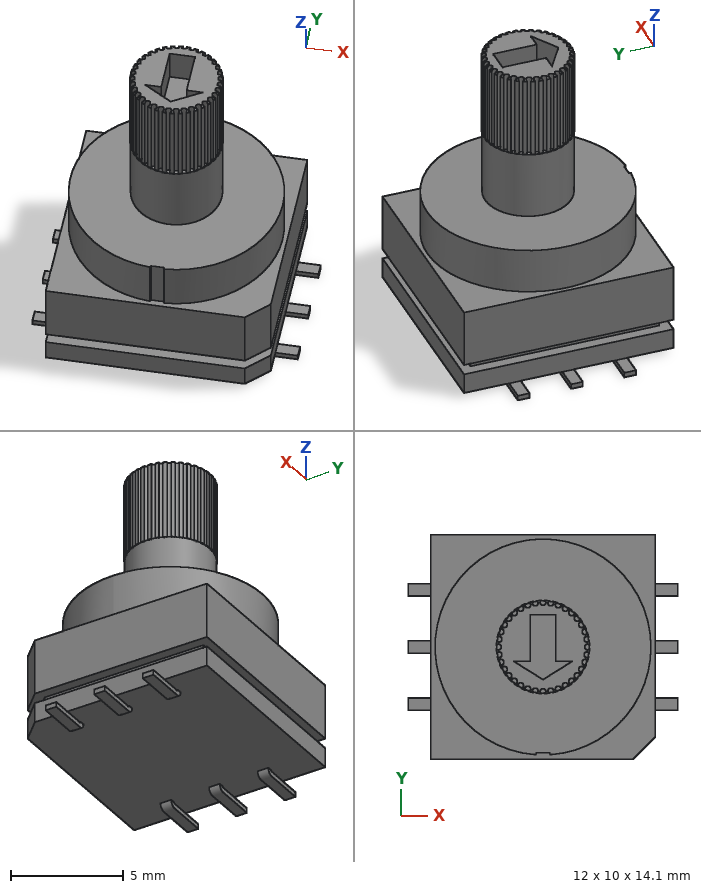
import cadquery as cq
import math

body_width = 10.0
corner_chamfer = 1.0
groove_depth = 0.5
body_bottom = 0.3
groove_bottom = 1.3
groove_top = 1.8
body_top = 4.6

disc_diameter = 9.6
disc_top = 6.8
notch_rim_width = 0.65
notch_floor_width = 0.58
notch_depth = 0.1

shaft_diameter = 4.1
knurl_diameter = 4.15
knurl_bottom = 10.1
knurl_top = 14.1
knurl_chamfer = 0.1
flute_count = 36
flute_diameter = 0.25
flute_circle_diameter = 3.96

arrow_stem_width = 1.15
arrow_head_width = 2.6
arrow_tail_y = 1.44
arrow_shoulder_y = -0.64
arrow_tip_y = -1.45
arrow_depth = 1.5

terminal_span = 12.0
terminal_width = 0.56
terminal_thickness = 0.25
terminal_pitch = 2.54
terminals_per_side = 3
terminal_inner_x = 3.7
bend_inner_radius = 0.05
terminal_embed = 0.2


def housing_layer(bottom, top, inset):
    """Square plate with one chamfered corner, its outline moved inward by inset."""
    half = body_width / 2 - inset
    chamfer = corner_chamfer - inset * (2 - math.sqrt(2))
    return (
        cq.Workplane("XY")
        .workplane(offset=bottom)
        .polyline([
            (-half, -half),
            (half - chamfer, -half),
            (half, -half + chamfer),
            (half, half),
            (-half, half),
        ])
        .close()
        .extrude(top - bottom)
    )


def make_housing():
    lower = housing_layer(body_bottom, groove_bottom, 0)
    neck = housing_layer(groove_bottom, groove_top, groove_depth)
    upper = housing_layer(groove_top, body_top, 0)
    return lower.union(neck).union(upper)


def make_notch():
    """Cutter for a full-height trapezoidal notch in the -Y side of the disc rim."""
    radius = disc_diameter / 2
    rim_y = -math.sqrt(radius ** 2 - (notch_rim_width / 2) ** 2)
    floor_y = notch_depth - radius
    overshoot = notch_depth
    flare = (notch_rim_width - notch_floor_width) / (floor_y - rim_y) * overshoot
    outer_half = (notch_rim_width + flare) / 2
    floor_half = notch_floor_width / 2
    outer_y = rim_y - overshoot
    return (
        cq.Workplane("XY")
        .workplane(offset=body_top)
        .polyline([
            (-outer_half, outer_y),
            (outer_half, outer_y),
            (floor_half, floor_y),
            (-floor_half, floor_y),
        ])
        .close()
        .extrude(disc_top - body_top)
    )


def make_disc():
    disc = cq.Workplane("XY").workplane(offset=body_top).circle(disc_diameter / 2).extrude(disc_top - body_top)
    return disc.cut(make_notch())


def make_knurled_head():
    head = (
        cq.Workplane("XY")
        .workplane(offset=knurl_bottom)
        .circle(knurl_diameter / 2)
        .extrude(knurl_top - knurl_bottom)
        .faces(">Z")
        .chamfer(knurl_chamfer)
    )
    flutes = (
        cq.Workplane("XY")
        .workplane(offset=knurl_bottom)
        .polarArray(flute_circle_diameter / 2, 0, 360, flute_count)
        .circle(flute_diameter / 2)
        .extrude(knurl_top - knurl_bottom)
    )
    return head.cut(flutes)


def make_arrow_pocket():
    stem = arrow_stem_width / 2
    head = arrow_head_width / 2
    return (
        cq.Workplane("XY")
        .workplane(offset=knurl_top - arrow_depth)
        .polyline([
            (-stem, arrow_tail_y),
            (-stem, arrow_shoulder_y),
            (-head, arrow_shoulder_y),
            (0, arrow_tip_y),
            (head, arrow_shoulder_y),
            (stem, arrow_shoulder_y),
            (stem, arrow_tail_y),
        ])
        .close()
        .extrude(arrow_depth)
    )


def make_shaft():
    stem = (
        cq.Workplane("XY").workplane(offset=disc_top).circle(shaft_diameter / 2).extrude(knurl_bottom - disc_top)
    )
    return stem.union(make_knurled_head()).cut(make_arrow_pocket())


def make_terminal(y):
    """Bent strip on the -X side: a flat foot that turns up into the housing."""
    bend_outer_radius = bend_inner_radius + terminal_thickness
    leg_top = body_bottom + terminal_embed
    leg_outer_x = -terminal_inner_x - terminal_thickness
    foot_end_x = -terminal_inner_x - bend_outer_radius
    return (
        cq.Workplane("XZ", origin=(0, y + terminal_width / 2, 0))
        .moveTo(-terminal_span / 2, 0)
        .lineTo(foot_end_x, 0)
        .radiusArc((-terminal_inner_x, bend_outer_radius), -bend_outer_radius)
        .lineTo(-terminal_inner_x, leg_top)
        .lineTo(leg_outer_x, leg_top)
        .lineTo(leg_outer_x, bend_outer_radius)
        .radiusArc((foot_end_x, terminal_thickness), bend_inner_radius)
        .lineTo(-terminal_span / 2, terminal_thickness)
        .close()
        .extrude(terminal_width)
    )


result = make_housing().union(make_disc()).union(make_shaft())
for i in range(terminals_per_side):
    terminal = make_terminal((i - (terminals_per_side - 1) / 2) * terminal_pitch)
    result = result.union(terminal).union(terminal.mirror("YZ"))